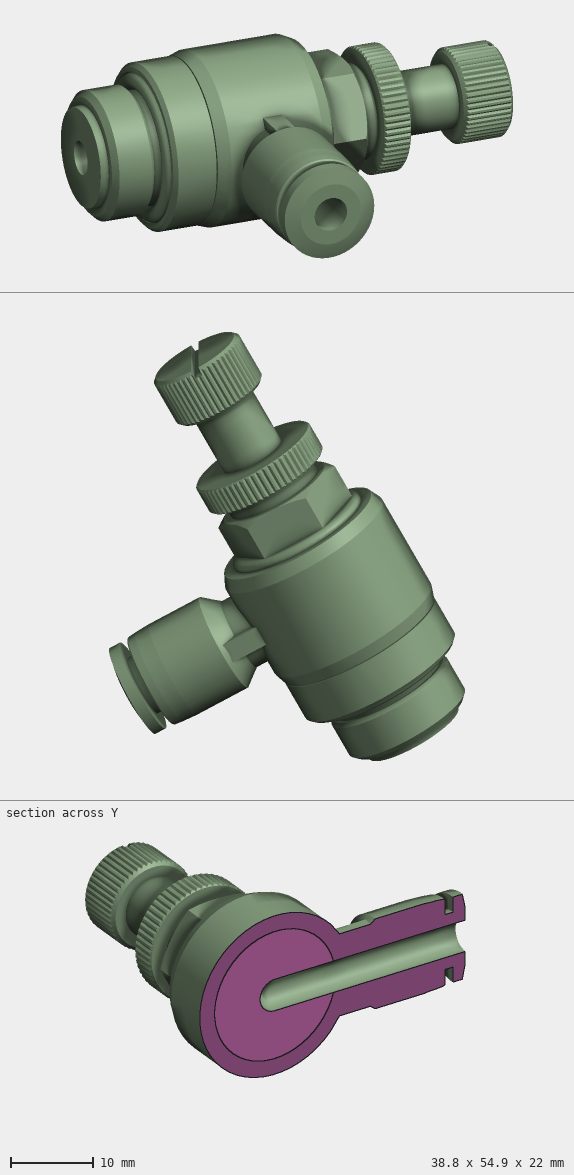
import cadquery as cq
import math


total_length = 54.9
tip_length = 1.0
thread_end = 6.5
collar_start = 8.0
housing_bottom = 13.7
housing_top = 29.1
flange_top = 30.1
hex_top = 35.0
nut_bottom = 36.95
nut_top = 40.45
knob_bottom = 48.35

tip_end_radius = 6.25
tip_root_radius = 6.4
thread_radius = 8.1
thread_front_chamfer = 0.7
thread_back_chamfer = 0.45
relief_radius = 7.2

ring_section_radius = 1.05
ring_radius = relief_radius + ring_section_radius
ring_crown = 7.3
ring_mid = ring_crown + ring_section_radius
recess_radius = 9.4

collar_radius = 10.5
collar_chamfer = 0.5
gap_width = 0.15
gap_radius = 10.1

flange_radius = 8.85
flange_fillet = 0.8
hex_corner_radius = 8.1
hex_chamfer_radial = 1.1
hex_chamfer_height = hex_chamfer_radial * math.tan(math.radians(30))
boss_radius = 6.0
boss_chamfer = 0.45
stem_radius = 4.0

nut_radius = 7.95
nut_chamfer = 0.2
nut_teeth = 60
knob_radius = 6.0
knob_chamfer = 0.5
knob_teeth = 50
knurl_depth = 0.2
ridge_share = 0.35
slot_width = 1.05
slot_depth = 1.0

barrel_diameter = 22.0
barrel_radius = barrel_diameter / 2
barrel_top_radius = 10.25
barrel_top_chamfer_height = 1.55
barrel_bottom_radius = collar_radius
barrel_bottom_chamfer_height = 1.6
bore_radius = flange_radius

total_width = 38.75
branch_y = 21.35
neck_radius = 4.55
neck_end = 12.45
socket_radius = 6.25
cone_end = 14.6
socket_straight_end = 21.65
cap_start = 23.6
cap_radius = 6.15
cap_rim_radius = 6.05
cap_end = 24.8
cap_chamfer = 0.15
sleeve_radius = 3.85
sleeve_end = 25.9
button_radius = 5.95
button_edge = 27.35
button_end = total_width - barrel_radius
button_face_radius = 3.95

rib_thickness = 2.5
rib_half_height = 5.7

passage_radius = 2.15


def turned(points):
    """Solid of revolution about the Y axis from (radius, y) points."""
    return cq.Workplane("XY").polyline(points).close().revolve(360, (0, 0, 0), (0, 1, 0))


def cylinder(radius, y_start, y_end, chamfer_start=0.0, chamfer_end=0.0):
    """Round section along Y with optional 45 degree chamfers at its ends."""
    points = [(0, y_start), (radius - chamfer_start, y_start)]
    if chamfer_start:
        points.append((radius, y_start + chamfer_start))
    if chamfer_end:
        points.append((radius, y_end - chamfer_end))
    points += [(radius - chamfer_end, y_end), (0, y_end)]
    return turned(points)


def along_y(y_start):
    """Workplane facing +Y at the given station."""
    return cq.Workplane("XZ", origin=(0, y_start, 0)).transformed(rotate=(180, 0, 0))


def knurled(radius, y_start, y_end, chamfer, teeth):
    """Chamfered disc with straight V grooves around its rim."""
    pitch = 2 * math.pi / teeth
    half_ridge = ridge_share * pitch / 2
    outline = []
    for tooth in range(teeth):
        ridge = tooth * pitch
        for distance, angle in (
            (radius, ridge - half_ridge),
            (radius, ridge + half_ridge),
            (radius - knurl_depth, ridge + pitch / 2),
        ):
            outline.append((distance * math.cos(angle), distance * math.sin(angle)))
    toothed = along_y(y_start).polyline(outline).close().extrude(y_end - y_start)
    return toothed.intersect(cylinder(radius, y_start, y_end, chamfer, chamfer))


def make_passage():
    """Bore from the port, round the corner and out through the branch."""
    port_bore = along_y(0).circle(passage_radius).extrude(branch_y)
    branch_bore = (
        cq.Workplane("YZ", origin=(0, branch_y, 0)).circle(passage_radius).extrude(button_end)
    )
    elbow = cq.Workplane("XY", origin=(0, branch_y, 0)).sphere(passage_radius)
    return port_bore.union(elbow).union(branch_bore)


def make_port_end():
    """Tip, thread and relief below the collar."""
    tip = turned([(0, 0), (tip_end_radius, 0), (tip_root_radius, tip_length), (0, tip_length)])
    thread = cylinder(
        thread_radius, tip_length, thread_end, thread_front_chamfer, thread_back_chamfer
    )
    relief = cylinder(relief_radius, thread_end, housing_bottom)
    return tip.union(thread).union(relief)


def make_collar():
    """Collar with the ring recess in its face and a step at the housing."""
    collar_top = housing_bottom - gap_width
    collar = cylinder(collar_radius, collar_start, collar_top, collar_chamfer)
    recess = cylinder(recess_radius, collar_start, ring_mid)
    step = cylinder(gap_radius, collar_top, housing_bottom)
    ring = (
        cq.Workplane("XY")
        .center(ring_radius, ring_mid)
        .circle(ring_section_radius)
        .revolve(360, (-ring_radius, 0, 0), (-ring_radius, 1, 0))
    )
    return collar.cut(recess).union(step).union(ring)


def make_flange():
    """Low flange above the housing with a rounded upper edge."""
    return cylinder(flange_radius, housing_top, flange_top).edges(">Y").fillet(flange_fillet)


def make_hexagon():
    """Hexagon with corners on +X and -X, chamfered on its upper end."""
    prism = along_y(flange_top).polygon(6, 2 * hex_corner_radius).extrude(hex_top - flange_top)
    chamfer_cone = turned([
        (0, flange_top),
        (hex_corner_radius, flange_top),
        (hex_corner_radius, hex_top - hex_chamfer_height),
        (hex_corner_radius - hex_chamfer_radial, hex_top),
        (0, hex_top),
    ])
    return prism.intersect(chamfer_cone)


def make_knob():
    """Knurled knob with a screwdriver slot across its end."""
    knob = knurled(knob_radius, knob_bottom, total_length, knob_chamfer, knob_teeth)
    slot = cq.Workplane("XY", origin=(0, total_length - slot_depth / 2, 0)).box(
        slot_width, slot_depth, 2 * knob_radius
    )
    return knob.cut(slot)


def make_spindle():
    spindle = make_port_end().union(make_collar())
    spindle = spindle.union(cylinder(bore_radius, housing_bottom, housing_top))
    spindle = spindle.union(make_flange())
    spindle = spindle.union(make_hexagon())
    spindle = spindle.union(cylinder(boss_radius, hex_top, nut_bottom, chamfer_end=boss_chamfer))
    spindle = spindle.union(knurled(nut_radius, nut_bottom, nut_top, nut_chamfer, nut_teeth))
    spindle = spindle.union(cylinder(stem_radius, nut_top, knob_bottom))
    spindle = spindle.union(make_knob())
    return spindle.cut(make_passage())


def make_barrel():
    return turned([
        (0, housing_bottom),
        (barrel_bottom_radius, housing_bottom),
        (barrel_radius, housing_bottom + barrel_bottom_chamfer_height),
        (barrel_radius, housing_top - barrel_top_chamfer_height),
        (barrel_top_radius, housing_top),
        (0, housing_top),
    ])


def make_branch():
    """Neck, socket, cap, sleeve and release button turned about the branch axis."""
    profile = [
        (0, 0),
        (0, neck_radius),
        (neck_end, neck_radius),
        (cone_end, socket_radius),
        (socket_straight_end, socket_radius),
        (cap_start, cap_radius),
        (cap_end - cap_chamfer, cap_rim_radius),
        (cap_end, cap_rim_radius - cap_chamfer),
        (cap_end, sleeve_radius),
        (sleeve_end, sleeve_radius),
        (sleeve_end, button_radius),
        (button_edge, button_radius),
        (button_end, button_face_radius),
        (button_end, 0),
    ]
    return (
        cq.Workplane("XY", origin=(0, branch_y, 0))
        .polyline(profile)
        .close()
        .revolve(360, (0, 0, 0), (1, 0, 0))
    )


def make_rib():
    """Plate across the neck, from the barrel to the socket cone."""
    return cq.Workplane("XY", origin=(cone_end / 2, branch_y, 0)).box(
        cone_end, rib_thickness, 2 * rib_half_height
    )


def make_housing():
    housing = make_barrel().union(make_branch()).union(make_rib())
    bore = cylinder(bore_radius, housing_bottom, housing_top)
    return housing.cut(bore).cut(make_passage())


spindle = make_spindle()
housing = make_housing()

result = cq.Compound.makeCompound([spindle.val(), housing.val()])